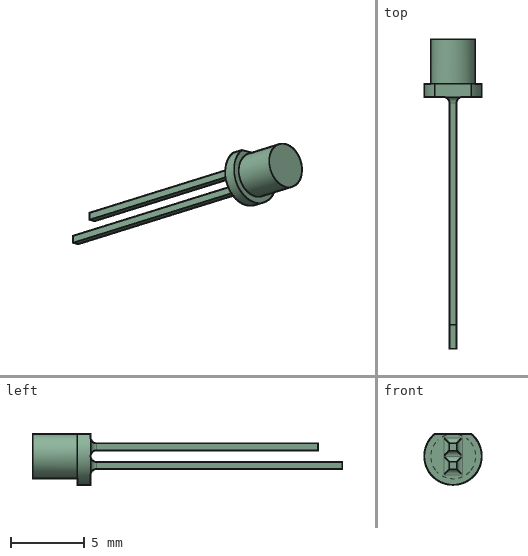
import cadquery as cq


overall_length = 21.08
body_diameter = 3.05
body_length = 3.05
flange_diameter = 3.93
flange_thickness = 0.9

lead_width = 0.5
lead_pitch = 1.27
lead_length_difference = 1.65

body_radius = body_diameter / 2
flange_radius = flange_diameter / 2
flat_height = body_radius

long_lead = overall_length - body_length - flange_thickness
short_lead = long_lead - lead_length_difference

flare_radius = (lead_pitch - lead_width) / 2


def disc(radius, start_y, thickness):
    """Cylinder about the Y axis reaching from start_y toward +Y, seam at the top."""
    base = cq.Plane(origin=(0, start_y, 0), xDir=(0, 0, 1), normal=(0, 1, 0))
    return cq.Workplane(base).circle(radius).extrude(thickness)


def make_flange():
    flange = disc(flange_radius, 0, flange_thickness)
    keep_height = flange_radius + flat_height
    keep = cq.Workplane("XY").box(
        flange_diameter, flange_thickness, keep_height, centered=(True, False, False)
    )
    return flange.intersect(keep.translate((0, 0, -flange_radius)))


def flare_profile(plane):
    """Prism with concave quarter-round sides, widest at the flange face."""
    half_lead = lead_width / 2
    half_root = half_lead + flare_radius
    arc_offset = flare_radius * (1 - 0.5**0.5)
    return (
        plane.moveTo(-half_root, 0)
        .lineTo(half_root, 0)
        .threePointArc((half_lead + arc_offset, -arc_offset), (half_lead, -flare_radius))
        .lineTo(-half_lead, -flare_radius)
        .threePointArc((-half_lead - arc_offset, -arc_offset), (-half_root, 0))
        .close()
        .extrude(half_root, both=True)
    )


def make_lead(length, height):
    """Square lead with a flared root, centred at the given Z height."""
    lead = cq.Workplane("XY").box(lead_width, length, lead_width).translate((0, -length / 2, 0))
    side_flare = flare_profile(cq.Workplane("XY"))
    vertical_flare = flare_profile(cq.Workplane("ZY"))
    flare = side_flare.intersect(vertical_flare)
    return lead.union(flare).translate((0, 0, height))


result = disc(body_radius, flange_thickness, body_length).union(make_flange())
for lead_length, lead_height in ((short_lead, lead_pitch / 2), (long_lead, -lead_pitch / 2)):
    lead = make_lead(lead_length, lead_height)
    result = result.union(lead, clean=False)
result = cq.Workplane(result.solids().val())